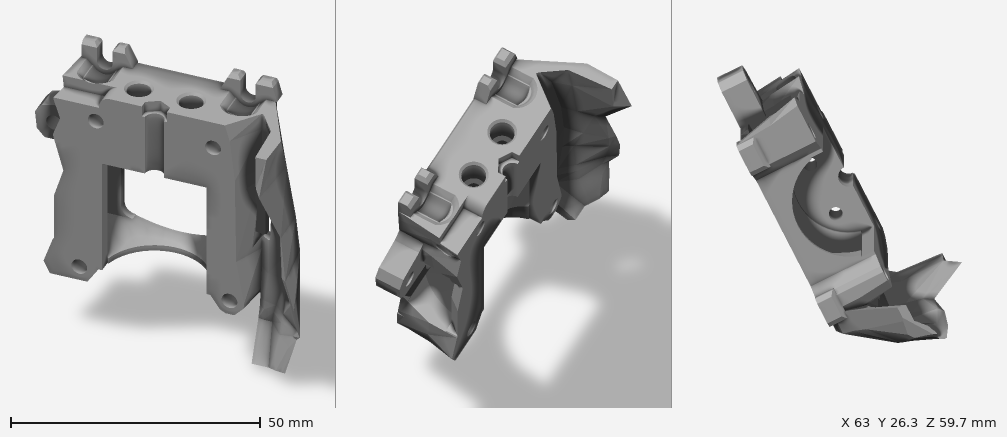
import cadquery as cq


depth = 14.6
top_z = 41.8
window_half_width = 11.3
window_top_z = 25.75
body_crease_y = 6.6
leg_end_z = -3.6

front_wall = 2.7
back_wall = 1.8
floor_z = 4.8
leg_base_z = floor_z + 0.3
ceiling_z = 24.4
chamber_right_x = 18.8
back_window_half_width = 12.4
back_window_corner = 2.5
inlet_low_z = 8.0
inlet_front_y = 5.3
ramp_start_x = 5.0
ramp_rise_x = 1.0
ramp_rise_y = 0.77
ramp_knee_y = 6.2
throat_lip_height = 1.3
throat_top_radius = 18.0

screw_diameter = 3.4
upper_screw_x = 12.7
upper_screw_z = 35.7
lower_screw_x = 16.25
lower_screw_z = -0.4

lug_x = 15.5
lug_height = 4.0
lug_inner_reach = 6.05
lug_thickness = 2.95
lug_chamfer = 0.8
lug_back_chamfer = 0.4
slot_width = 3.3
groove_diameter = 5.5
groove_axis_z = top_z
groove_end_y = 6.5
groove_cone_length = 1.3
groove_chamfer = 1.2

back_edge_chamfer = 0.4
insert_x = 5.65
insert_y = 5.7
insert_diameter = 5.0
insert_mouth_diameter = 6.0
insert_depth = 6.0
insert_screw_diameter = 2.75
nut_flats = 5.45
nut_depth = 2.4
nut_y = 0.15
cable_diameter = 4.1
step_right_x = -12.0
step_depth = 2.7
step_width_y = 4.3
step_round = 2.45

tab_thickness = 5.65
tab_hole_x = -25.4
tab_hole_z = 26.5
side_hole_diameter = 4.5
side_hole_y = 3.45
side_hole_z = 36.0
side_hole_end_x = -15.0

foot_left_x = -20.9
foot_inner_x = 14.0
foot_right_x = 20.5
foot_depth = 3.2
foot_bottom_z = -5.0
foot_bevel = 1.0
foot_front_rise = 1.4

through = 100.0


def faceted_solid(rings):
    """Closed solid with triangular sides joining flat rings of equally many points."""
    faces = []
    count = len(rings[0])
    for near, far in zip(rings, rings[1:]):
        for i in range(count):
            j = (i + 1) % count
            for corners in ((near[i], near[j], far[j]), (near[i], far[j], far[i])):
                faces.append(flat_face(corners))
    faces.append(flat_face(rings[0]))
    faces.append(flat_face(rings[-1]))
    solid = cq.Solid.makeSolid(cq.Shell.makeShell(faces))
    return cq.Workplane(obj=solid.fix())


def flat_face(corners):
    vectors = [cq.Vector(*corner) for corner in corners]
    return cq.Face.makeFromWires(cq.Wire.makePolygon(vectors, close=True))


def box(x0, x1, y0, y1, z0, z1):
    return cq.Workplane("XY").box(x1 - x0, y1 - y0, z1 - z0, centered=False).translate((x0, y0, z0))


def prism_y(points, y0, y1):
    """Outline in X and Z, extruded from y0 to y1."""
    return cq.Workplane("XZ", origin=(0, y0, 0)).polyline(points).close().extrude(y0 - y1)


def prism_x(points, x0, x1):
    """Outline in Y and Z, extruded from x0 to x1."""
    return cq.Workplane("YZ", origin=(x0, 0, 0)).polyline(points).close().extrude(x1 - x0)


def rod_y(x, z, diameter):
    return cq.Workplane("XZ", origin=(x, -through / 2, z)).circle(diameter / 2).extrude(-through)


def make_body():
    front = [
        (-22.1, top_z), (-21.85, 38.7), (-20.4, 34.4), (-22.0, 30.1), (-19.7, 22.0),
        (-21.7, 15.6), (-21.75, leg_base_z), (-22.0, floor_z),
        (-24.0, -0.9), (-22.65, leg_end_z), (-14.5, leg_end_z),
        (-12.1, 0.0), (12.1, 0.0), (14.2, -3.0), (15.4, leg_end_z), (17.3, leg_end_z),
        (19.3, -1.5), (19.4, -0.4), (17.7, 9.4), (17.4, 28.8), (16.3, 38.2), (15.25, top_z),
    ]
    middle = [
        (-21.4, top_z), (-21.0, 38.0), (-20.2, 33.8), (-21.0, 31.3), (-19.6, 22.5),
        (-16.5, 15.6), (-16.5, leg_base_z), (-21.8, floor_z),
        (-22.2, 0.5), (-21.5, leg_end_z), (-14.5, leg_end_z),
        (-12.1, 0.0), (12.1, 0.0), (14.2, -3.0), (15.4, leg_end_z), (18.0, leg_end_z),
        (20.0, -1.5), (20.6, 0.0), (20.6, 9.4), (20.6, 28.8), (20.6, 38.2), (20.6, top_z),
    ]
    back = [
        (-20.5, top_z), (-20.3, 38.0), (-20.0, 33.5), (-19.6, 31.5), (-19.1, 22.5),
        (-19.1, 15.6), (-19.2, leg_base_z), (-19.2, floor_z),
        (-20.5, 0.5), (foot_left_x, leg_end_z), (-14.5, leg_end_z),
        (-12.1, 0.0), (12.1, 0.0), (14.2, -3.0), (15.4, leg_end_z), (18.0, leg_end_z),
        (20.0, -1.5), (20.6, 0.0), (20.6, 9.4), (20.6, 28.8), (20.6, 38.2), (20.6, top_z),
    ]
    placed = ((front, 0.0), (middle, body_crease_y), (back, depth))
    return faceted_solid([[(x, y, z) for x, z in outline] for outline, y in placed])


def make_duct():
    sections = [
        (top_z, [(18.0, depth), (20.0, depth), (27.8, -1.0), (27.6, -8.3), (25.2, -8.3),
                 (24.6, 1.5), (21.2, 6.2), (20.9, 6.5), (20.5, 6.7)]),
        (34.5, [(18.0, depth), (21.0, depth), (28.2, 1.0), (27.4, -11.65), (25.4, -8.5),
                (25.4, 1.0), (24.0, 5.0), (22.65, 5.2), (20.6, 6.6)]),
        (20.8, [(18.0, depth), (22.6, depth), (29.0, 4.0), (29.2, -4.5), (28.1, -2.5),
                (27.3, 1.0), (26.5, 4.2), (22.65, 4.8), (20.6, 6.6)]),
        (11.6, [(18.0, depth), (23.4, depth), (29.2, 5.7), (30.8, -6.05), (29.6, -5.0),
                (28.0, 0.0), (27.2, 4.0), (22.65, 4.8), (20.6, 6.6)]),
        (4.9, [(18.0, depth), (23.4, depth), (29.2, 5.7), (32.6, -5.9), (31.2, -4.2),
               (27.7, 2.0), (26.5, 3.9), (22.65, 4.8), (20.6, 6.6)]),
        (-1.7, [(18.5, 13.0), (23.4, 13.0), (29.6, 4.5), (33.54, -5.1), (32.0, -3.0),
                (27.3, 1.3), (24.8, 3.9), (22.0, 4.5), (20.5, 6.0)]),
        (-3.6, [(19.0, 10.9), (23.4, 10.9), (29.6, 4.0), (32.2, -3.5), (31.0, -2.6),
                (27.1, 0.9), (24.3, 3.9), (22.0, 4.2), (20.6, 5.5)]),
        (-6.1, [(19.5, 8.2), (23.8, 8.2), (29.5, 3.0), (31.6, -4.0), (30.3, -3.2),
                (26.9, 0.4), (23.8, 4.1), (21.8, 4.2), (20.7, 4.4)]),
        (-14.4, [(21.5, -0.7), (24.5, -0.7), (28.5, -1.5), (29.4, -5.1), (28.4, -4.8),
                 (26.8, -4.1), (25.8, -3.1), (23.2, -3.1), (22.0, -3.1)]),
    ]
    duct = faceted_solid([[(x, y, z) for x, y in points] for z, points in sections])
    below = -through
    end_face = prism_y([(23.8, -13.88), (40.0, -8.5), (40.0, below), (23.8, below)], -through, through)
    end_bevel = prism_x([(0.0, -14.01), (-9.4, -8.95), (-9.4, below), (0.0, below)], 0, through)
    return duct.cut(end_face).cut(end_bevel)


def make_duct_openings():
    inlet = prism_x([
        (through, ceiling_z), (through, inlet_low_z), (depth - back_wall, inlet_low_z),
        (inlet_front_y, 14.0), (inlet_front_y, 22.0), (8.3, ceiling_z)], chamber_right_x, through)
    slit = prism_y(
        [(18.6, 25.6), (19.7, 26.0), (22.3, 23.5), (23.5, 23.3), (23.1, 13.1),
         (21.1, 12.7), (19.5, 10.6), (20.1, 20.2)], front_wall, through)
    return inlet.union(slit)


def make_chamber():
    inner_back_y = depth - back_wall
    chamber = box(-through, chamber_right_x, front_wall, inner_back_y, floor_z, ceiling_z)
    back_window = box(-back_window_half_width, back_window_half_width,
                      front_wall, through, floor_z, ceiling_z)
    back_window = back_window.edges("|Y and <Z").fillet(back_window_corner)
    throat = cq.Workplane("XY", origin=(0, 0, -through / 2)).circle(window_half_width)
    throat = throat.extrude(through / 2 + window_top_z)
    cone = cq.Workplane("XZ").polyline([
        (0, throat_lip_height), (window_half_width, throat_lip_height),
        (throat_top_radius, floor_z), (0, floor_z)]).close().revolve(360, (0, 0), (0, 1))
    cone = cone.intersect(box(-through, through, front_wall, through, 0, floor_z))
    hollow = chamber.union(back_window).union(cone).cut(make_ramp())
    return hollow.union(throat)


def make_ramp():
    """Solid under the sloping floor that climbs from the throat to the side inlet."""
    rings = []
    for y in (0, ramp_knee_y, depth):
        start_z = ramp_z(ramp_start_x, y)
        end_z = ramp_z(through, y)
        rings.append([
            (ramp_start_x, y, -through), (ramp_start_x, y, start_z),
            (through, y, end_z), (through, y, -through)])
    return faceted_solid(rings)


def ramp_z(x, y):
    climb_right = ramp_rise_x * (x - chamber_right_x)
    climb_forward = ramp_rise_y * (depth - back_wall - max(y, ramp_knee_y))
    return inlet_low_z + climb_right + climb_forward


def make_lug(side):
    lug_top_z = top_z + lug_height
    if side < 0:
        outer_end = [(5.0, top_z), (5.0, lug_top_z)]
    else:
        outer_end = [(6.3, top_z), (5.4, lug_top_z - lug_chamfer), (4.8, lug_top_z)]
    outline = outer_end + [(-4.05, lug_top_z), (-lug_inner_reach, top_z)]
    points = [(side * (lug_x + x), z) for x, z in outline]
    lug = prism_y(points, depth - lug_thickness, depth)
    lug = lug.edges("|X and >Z").edges("<Y").chamfer(lug_chamfer)
    lug = lug.edges("|X and >Z").edges(">Y").chamfer(lug_back_chamfer)
    mouth_half = slot_width / 2 + lug_chamfer
    mouth = prism_y([
        (side * lug_x - mouth_half, lug_top_z),
        (side * lug_x, lug_top_z - mouth_half),
        (side * lug_x + mouth_half, lug_top_z)], 0, through)
    return lug.cut(mouth)


def make_lug_slot(side):
    slot_x = side * lug_x
    start_y = depth - lug_thickness
    bottom = cq.Workplane("XZ", origin=(slot_x, start_y, top_z)).circle(slot_width / 2).extrude(-through)
    straight = box(slot_x - slot_width / 2, slot_x + slot_width / 2, start_y, through, top_z, through)
    return bottom.union(straight)


def make_ball_groove(side):
    radius = groove_diameter / 2
    start_y = depth - lug_thickness
    tip_y = groove_end_y - groove_cone_length
    profile = [(0, start_y), (radius, start_y), (radius, groove_end_y), (0, tip_y)]
    groove = cq.Workplane("XY").polyline(profile).close().revolve(360, (0, 0), (0, 1))
    mouth_radius = radius + groove_chamfer
    mouth = (
        cq.Workplane("XY")
        .moveTo(-mouth_radius, depth)
        .lineTo(-mouth_radius, groove_end_y)
        .threePointArc((0, tip_y - groove_chamfer), (mouth_radius, groove_end_y))
        .lineTo(mouth_radius, depth)
        .close()
        .extrude(-groove_chamfer, taper=45)
    )
    mouth = mouth.intersect(box(-through, through, -through, start_y, -through, through))
    return groove.union(mouth).translate((side * lug_x, 0, groove_axis_z))


def make_tab():
    outline = [(-29.5, 28.2), (-28.0, 30.1), (-21.8, 31.7), (-19.0, 33.5), (-19.0, 22.5),
               (-27.4, 22.5), (-29.1, 24.3)]
    return prism_y(outline, depth - tab_thickness, depth)


def make_foot(left_x, right_x):
    """Pad under the back of a leg, with bevelled ends and a bevelled front."""
    bevel_z = foot_bottom_z + foot_bevel
    outline = [(left_x, 0), (left_x, bevel_z), (left_x + foot_bevel, foot_bottom_z),
               (right_x - foot_bevel, foot_bottom_z), (right_x, bevel_z), (right_x, 0)]
    front_y = depth - foot_depth
    profile = [(depth, 0), (depth, foot_bottom_z), (front_y, foot_bottom_z),
               (front_y - foot_bevel, foot_bottom_z + foot_front_rise), (front_y - foot_bevel, 0)]
    return prism_y(outline, 0, depth).intersect(prism_x(profile, left_x, right_x))


def make_insert_hole(x):
    plane = cq.Workplane("XY", origin=(x, insert_y, top_z))
    mouth_depth = (insert_mouth_diameter - insert_diameter) / 2
    mouth = plane.circle(insert_mouth_diameter / 2).extrude(-mouth_depth, taper=45)
    bore = plane.circle(insert_diameter / 2).extrude(-insert_depth)
    screw = plane.circle(insert_screw_diameter / 2).extrude(window_top_z - top_z)
    return mouth.union(bore).union(screw)


def make_cable_groove():
    channel = cq.Workplane("XY", origin=(0, 0, window_top_z)).circle(cable_diameter / 2)
    channel = channel.extrude(top_z - window_top_z)
    half = nut_flats / 2
    tip = nut_flats / 3 ** 0.5
    nut = cq.Workplane("XY", origin=(0, nut_y, top_z)).polyline([
        (-half, -tip), (-half, tip / 2), (0, tip), (half, tip / 2), (half, -tip)]).close()
    return channel.union(nut.extrude(-nut_depth))


def make_corner_step():
    bottom_z = top_z - step_depth
    round_x = step_right_x + step_round
    step = box(-through, round_x, -through, step_width_y, bottom_z, through)
    corner = box(step_right_x, round_x + step_round, -through, step_width_y, bottom_z - step_round, top_z)
    corner = corner.edges("|Y and >Z and <X").fillet(step_round)
    return step.cut(corner)


def make_back_edge_chamfer():
    half_length = lug_x - lug_inner_reach
    wedge = [(depth, top_z - back_edge_chamfer), (depth, top_z), (depth - back_edge_chamfer, top_z)]
    return prism_x(wedge, -half_length, half_length)


def make_side_hole():
    plane = cq.Workplane("YZ", origin=(side_hole_end_x, side_hole_y, side_hole_z))
    return plane.circle(side_hole_diameter / 2).extrude(-through)


result = make_body().union(make_duct())
result = result.union(make_foot(foot_left_x, -foot_inner_x)).union(make_foot(foot_inner_x, foot_right_x))
for side in (-1, 1):
    result = result.union(make_lug(side))

window = box(-window_half_width, window_half_width, -through, front_wall, -through, window_top_z)
result = result.cut(window).cut(make_chamber()).cut(make_duct_openings())
result = result.union(make_tab())
result = result.cut(make_cable_groove()).cut(make_corner_step()).cut(make_side_hole())
result = result.cut(make_back_edge_chamfer())
for side in (-1, 1):
    result = result.cut(make_ball_groove(side)).cut(make_lug_slot(side))
    result = result.cut(make_insert_hole(side * insert_x))
    result = result.cut(rod_y(side * upper_screw_x, upper_screw_z, screw_diameter))
    result = result.cut(rod_y(side * lower_screw_x, lower_screw_z, screw_diameter))
result = result.cut(rod_y(tab_hole_x, tab_hole_z, screw_diameter))